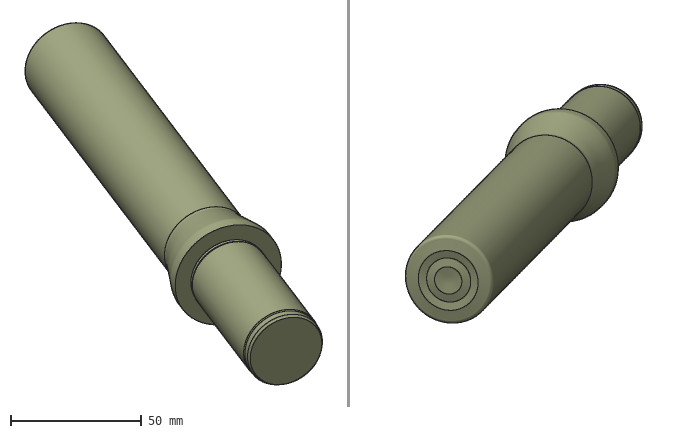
import cadquery as cq

HANDLE_LENGTH = 148.0
CONE_START = 149.7
COLLAR_START = 165.9
COLLAR_END = 170.5
NECK_END = 172.5
TIP_STEP = 227.0
TOTAL_LENGTH = 231.0

HANDLE_DIAMETER = 35.0
COLLAR_DIAMETER = 44.0
SHANK_DIAMETER = 31.5
RELIEF_DIAMETER = 31.0

FACE_DIAMETER = 32.0
OUTER_RIDGE_DIAMETER = 23.8
VALLEY_DIAMETER = 17.5
INNER_RIDGE_DIAMETER = 10.9
RIPPLE_DEPTH = 0.7
RIM_RADIUS = (HANDLE_DIAMETER - FACE_DIAMETER) / 2

COLLAR_BLEND_RADIUS = 3.5
EDGE_SEARCH_MARGIN = 1.2
STEP_RAMP_LENGTH = 0.7
TIP_CHAMFER_LENGTH = 1.2
TIP_CHAMFER_HEIGHT = 0.7


def revolve_about_x(profile):
    """Turn an open (X, radius) profile, closed along the axis, a full turn about X."""
    return profile.close().revolve(360, (0, 0, 0), (1, 0, 0))


def make_handle():
    """Long cylinder with a rounded rim and a rippled end face."""
    profile = (
        cq.Workplane("XY")
        .moveTo(RIPPLE_DEPTH, 0)
        .lineTo(0, INNER_RIDGE_DIAMETER / 2)
        .lineTo(RIPPLE_DEPTH, VALLEY_DIAMETER / 2)
        .lineTo(0, OUTER_RIDGE_DIAMETER / 2)
        .lineTo(RIPPLE_DEPTH, FACE_DIAMETER / 2)
        .radiusArc((RIPPLE_DEPTH + RIM_RADIUS, HANDLE_DIAMETER / 2), RIM_RADIUS)
        .lineTo(HANDLE_LENGTH, HANDLE_DIAMETER / 2)
        .lineTo(HANDLE_LENGTH, 0)
    )
    return revolve_about_x(profile)


def make_collared_shank():
    """Flared collar with a shank that is slightly relieved at both ends."""
    shank_radius = SHANK_DIAMETER / 2
    relief_radius = RELIEF_DIAMETER / 2
    profile = (
        cq.Workplane("XY")
        .moveTo(HANDLE_LENGTH, 0)
        .lineTo(HANDLE_LENGTH, HANDLE_DIAMETER / 2)
        .lineTo(CONE_START, HANDLE_DIAMETER / 2)
        .lineTo(COLLAR_START, COLLAR_DIAMETER / 2)
        .lineTo(COLLAR_END, COLLAR_DIAMETER / 2)
        .lineTo(COLLAR_END, relief_radius)
        .lineTo(NECK_END - STEP_RAMP_LENGTH, relief_radius)
        .lineTo(NECK_END, shank_radius)
        .lineTo(TIP_STEP - STEP_RAMP_LENGTH, shank_radius)
        .lineTo(TIP_STEP, relief_radius)
        .lineTo(TOTAL_LENGTH - TIP_CHAMFER_LENGTH, relief_radius)
        .lineTo(TOTAL_LENGTH, relief_radius - TIP_CHAMFER_HEIGHT)
        .lineTo(TOTAL_LENGTH, 0)
    )
    blank = revolve_about_x(profile)
    cone_to_collar = cq.selectors.BoxSelector(
        (COLLAR_START - EDGE_SEARCH_MARGIN, -COLLAR_DIAMETER, -COLLAR_DIAMETER),
        (COLLAR_START + EDGE_SEARCH_MARGIN, COLLAR_DIAMETER, COLLAR_DIAMETER),
        boundingbox=True,
    )
    return blank.edges(cone_to_collar).fillet(COLLAR_BLEND_RADIUS)


handle = make_handle()
collared_shank = make_collared_shank()

result = cq.Compound.makeCompound([handle.val(), collared_shank.val()])